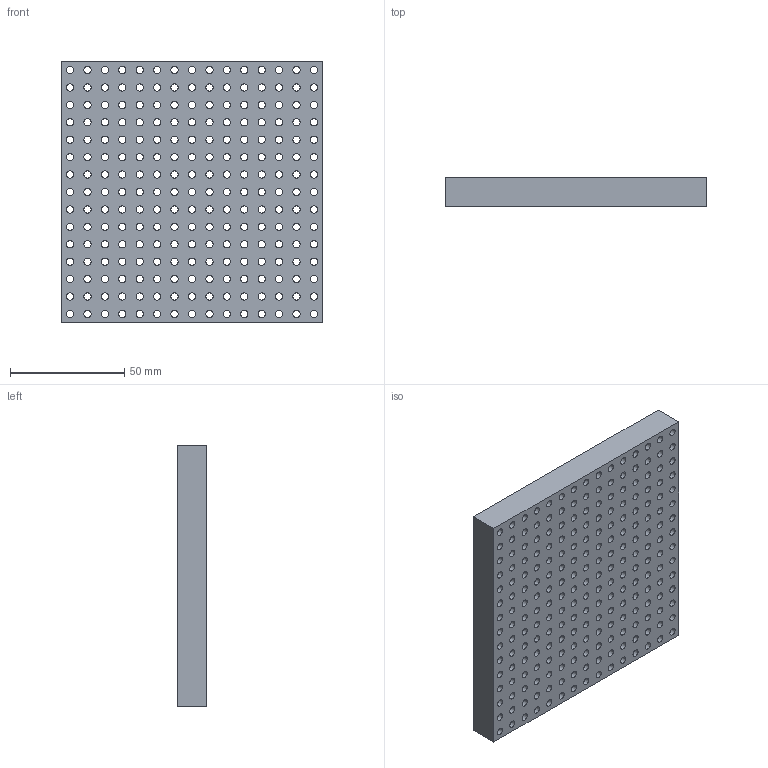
import cadquery as cq

holes_per_side = 15
hole_pitch = 7.62
hole_diameter = 3.175
plate_thickness = 12.7
plate_side = holes_per_side * hole_pitch


def make_plate():
    """Solid plate centred on the origin."""
    return cq.Workplane("XY").box(plate_side, plate_thickness, plate_side)


def drill_hole_grid(plate):
    """Drill the square grid of through holes along Y."""
    return (
        plate.faces("<Y")
        .workplane(centerOption="CenterOfBoundBox")
        .rarray(hole_pitch, hole_pitch, holes_per_side, holes_per_side)
        .hole(hole_diameter)
    )


result = drill_hole_grid(make_plate())